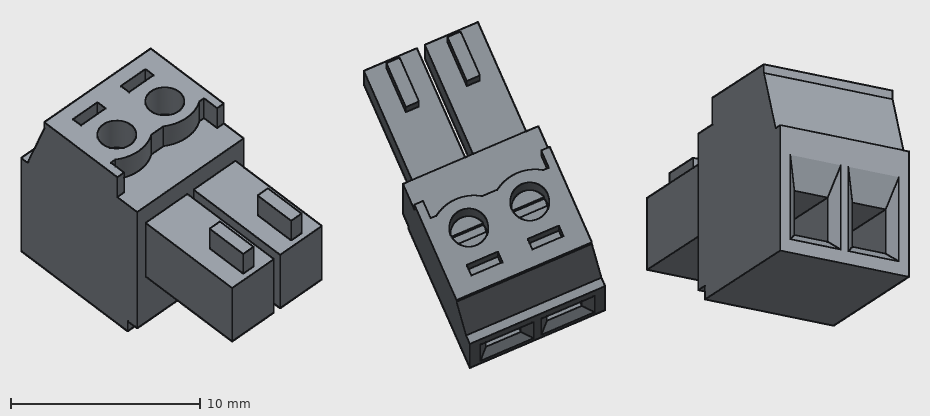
import cadquery as cq


body_length = 8.88
body_width = 7.8
body_height = 11.18
lip_length = 0.5
lip_height = 7.13
slope_end_x = 1.77
brow_height = 0.5
foot_end_x = 8.15
foot_height = 0.77

ledge_z = 9.67
ear_end_x = 7.36
ear_width = 0.5
step_x = 6.35
bulge = 0.4
bulge_width = 2.63

pole_pitch = 3.52
pole_centers = (-pole_pitch / 2, pole_pitch / 2)

pole_width = 3.07
funnel_bottom = 0.76
funnel_top = 5.55
funnel_depth = 0.5
tunnel_width = 2.01
tunnel_bottom = 1.27
tunnel_top = 3.78
tunnel_end_x = 6.2

screw_x = 5.08
screw_hole_diameter = 2.06
screw_diameter = 1.95
screw_recess = 2.0
screw_hole_depth = 3.0
drive_width = 0.5
drive_depth = 0.5

test_slot_x = 2.97
test_slot_length = 0.62
test_slot_width = 1.8
test_slot_depth = 1.5

plug_end_x = 15.49
plug_bottom = 4.3
plug_top = 8.4
key_start_x = 12.56
key_end_x = 15.13
key_width = 0.76
key_top = 9.9


def block(x_range, y_center, width, z_range):
    """Rectangular block centred across Y on y_center."""
    length = x_range[1] - x_range[0]
    height = z_range[1] - z_range[0]
    return (
        cq.Workplane("XY")
        .box(length, width, height, centered=(False, True, False))
        .translate((x_range[0], y_center, z_range[0]))
    )


def housing():
    """Side profile of the housing, extruded across its width."""
    return (
        cq.Workplane("XZ")
        .polyline([
            (0, 0),
            (foot_end_x, 0),
            (foot_end_x, foot_height),
            (body_length, foot_height),
            (body_length, body_height),
            (slope_end_x, body_height),
            (slope_end_x, body_height - brow_height),
            (lip_length, lip_height),
            (0, lip_height),
        ])
        .close()
        .extrude(body_width / 2, both=True)
    )


def rear_step():
    """Material removed above the ledge, leaving an ear at each side and a bulge behind each screw."""
    side = body_width / 2
    ear_inside = side - ear_width
    outline = (
        cq.Workplane("XY", origin=(0, 0, ledge_z))
        .moveTo(body_length, -side)
        .lineTo(ear_end_x, -side)
        .lineTo(ear_end_x, -ear_inside)
        .lineTo(step_x, -ear_inside)
    )
    for y in pole_centers:
        outline = (
            outline.lineTo(step_x, y - bulge_width / 2)
            .threePointArc((step_x + bulge, y), (step_x, y + bulge_width / 2))
        )
    return (
        outline.lineTo(step_x, ear_inside)
        .lineTo(ear_end_x, ear_inside)
        .lineTo(ear_end_x, side)
        .lineTo(body_length, side)
        .close()
        .extrude(body_height - ledge_z)
    )


def wire_entry(y):
    """Tapered funnel in the entry face, leading into a rectangular tunnel."""
    funnel_height = funnel_top - funnel_bottom
    tunnel_height = tunnel_top - tunnel_bottom
    funnel_center_z = (funnel_top + funnel_bottom) / 2
    tunnel_center_z = (tunnel_top + tunnel_bottom) / 2
    funnel = (
        cq.Workplane("YZ", origin=(0, y, funnel_center_z))
        .rect(pole_width, funnel_height)
        .workplane(offset=funnel_depth)
        .center(0, tunnel_center_z - funnel_center_z)
        .rect(tunnel_width, tunnel_height)
        .loft(ruled=True)
    )
    tunnel = block((funnel_depth, tunnel_end_x), y, tunnel_width, (tunnel_bottom, tunnel_top))
    return funnel.union(tunnel)


def screw_hole(y):
    """Blind hole around the screw."""
    return (
        cq.Workplane("XY", origin=(screw_x, y, body_height - screw_hole_depth))
        .circle(screw_hole_diameter / 2)
        .extrude(screw_hole_depth)
    )


def screw(y):
    """Slotted screw head standing on the floor of its hole."""
    head_top = body_height - screw_recess
    head = (
        cq.Workplane("XY", origin=(screw_x, y, body_height - screw_hole_depth))
        .circle(screw_diameter / 2)
        .extrude(screw_hole_depth - screw_recess)
    )
    drive = block(
        (screw_x - drive_width / 2, screw_x + drive_width / 2),
        y,
        screw_diameter,
        (head_top - drive_depth, head_top),
    )
    return head.cut(drive)


def test_slot(y):
    """Narrow blind slot in the top face, in front of the screw."""
    x_range = (test_slot_x - test_slot_length / 2, test_slot_x + test_slot_length / 2)
    return block(x_range, y, test_slot_width, (body_height - test_slot_depth, body_height))


def plug(y):
    """Plug arm behind the housing with a coding key on top."""
    arm = block((body_length, plug_end_x), y, pole_width, (plug_bottom, plug_top))
    key = block((key_start_x, key_end_x), y, key_width, (plug_top, key_top))
    return arm.union(key)


result = housing().cut(rear_step())
for pole_y in pole_centers:
    result = (
        result.cut(wire_entry(pole_y))
        .cut(screw_hole(pole_y))
        .cut(test_slot(pole_y))
        .union(screw(pole_y))
        .union(plug(pole_y))
    )